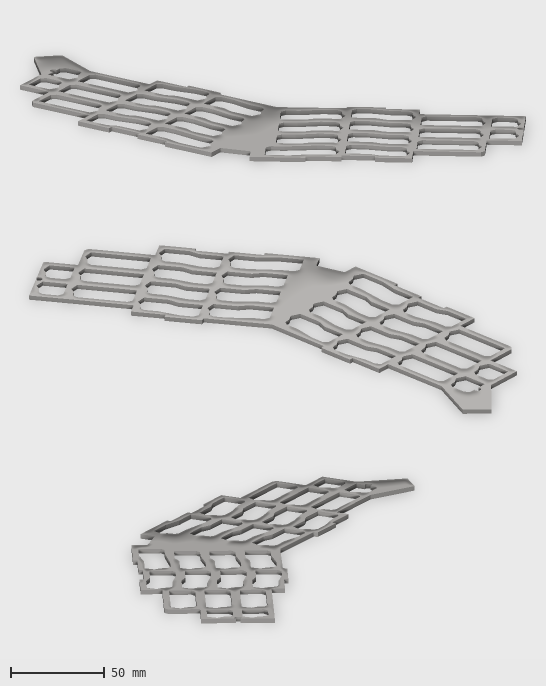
import cadquery as cq
import math


thickness = 2.5
tilt = 15
key_columns = 7
columns_span = 114.0
key_pitch = columns_span / (key_columns - 1)

stagger = 2.3

inner_wall_u = -10.2
inner_wall_top_v = -71.0
top_v = 0.3
tall_top_v = top_v + stagger
bottom_v = -77.3
pair_edge_u = 77.0
outer_top_v = -7.0
pinky_bottom_v = -65.7
pinky_edge_u = 115.4
edge_u = 134.2
edge_bottom_v = -46.5
corner_cut = 2.0
tab_foot_u = 37.2
tab_start_u = 37.8
tab_end_u = 58
bottom_tab_start_u = 19.8
bottom_tab_end_u = 39.0
recess_end_u = 57.0

arm_root_u = 115.0
arm_top = (141.5, 5.8)
arm_tip = (152.8, -4.6)
arm_foot_v = -25.5

upper_border = [
    (tab_foot_u, top_v),
    (tab_start_u, tall_top_v),
    (tab_end_u, tall_top_v),
    (tab_end_u, top_v),
    (pair_edge_u, top_v),
    (pair_edge_u, outer_top_v),
]
right_corner = [(edge_u, outer_top_v)]
left_arm = [(arm_root_u, outer_top_v), arm_top, arm_tip, (edge_u, arm_foot_v)]
lower_border = [
    (edge_u, edge_bottom_v),
    (pinky_edge_u, edge_bottom_v),
    (pinky_edge_u, pinky_bottom_v + corner_cut),
    (pinky_edge_u - corner_cut, pinky_bottom_v),
    (pair_edge_u, pinky_bottom_v),
    (pair_edge_u, bottom_v),
    (recess_end_u, bottom_v),
    (recess_end_u, bottom_v + stagger),
    (bottom_tab_end_u, bottom_v + stagger),
    (bottom_tab_end_u, bottom_v),
    (bottom_tab_start_u, bottom_v),
    (bottom_tab_start_u, bottom_v - stagger),
    (inner_wall_u, bottom_v - stagger),
    (inner_wall_u, inner_wall_top_v),
]

opening_height = 14.0
opening_width = 13.7
top_corner_run = 2.5
top_corner_drop = 2.0
shoulder_drop = 1.5
shoulder_u = 13.5
flank_u = 14.0
flank_v = 8.5
point_u = 16.0
point_v = 5.2
top_ramp_start = 10.0
top_ramp_end = 3.2
bottom_ramp_start = 13.5
bottom_ramp_end = 0.3

middle_v = -16.9
pinky_v = -24.0
column_bottoms = [middle_v - stagger, middle_v, middle_v + stagger, middle_v, pinky_v, pinky_v, pinky_v]
pair_row_counts = [4, 4, 3]
single_row_count = 2
thumb_row = 3
right_first_left = 2.5
left_first_left = 17.0
first_left_side = {1: right_first_left, -1: left_first_left}
thumb_shift = 5.0

relief_radius = 1.9
right_relief = (132.8, -26.7)
left_relief = (132.0, -17.0)


def half_plane(side):
    """Work plane of a half: side is 1 for the right half and -1 for the left one."""
    return cq.Workplane("XY").transformed(rotate=(0, 0, side * tilt))


def to_plate(u, v, side):
    """Position on the whole plate of a point given in the frame of one half."""
    angle = math.radians(tilt)
    x = u * math.cos(angle) - v * math.sin(angle)
    y = u * math.sin(angle) + v * math.cos(angle)
    return (side * x, y)


def build_blank():
    right = upper_border + right_corner + lower_border
    left = upper_border + left_arm + lower_border
    outline = [(0, 0)]
    outline += [to_plate(u, v, 1) for u, v in right]
    outline += [to_plate(u, v, -1) for u, v in reversed(left)]
    return cq.Workplane("XY").polyline(outline).close().extrude(thickness)


def opening(left_x, left_v, right_x, right_v):
    """Outline of an opening from the key at left_x to the key at right_x."""
    left_top = left_v + opening_height
    right_top = right_v + opening_height
    points = [
        (left_x, left_v),
        (left_x, left_top - top_corner_drop),
        (left_x + top_corner_run, left_top),
    ]
    if left_v != right_v:
        points += [(left_x + top_ramp_start, left_top), (right_x + top_ramp_end, right_top)]
    points += [
        (right_x + opening_width - top_corner_run, right_top),
        (right_x + shoulder_u, right_top - shoulder_drop),
        (right_x + flank_u, right_v + flank_v),
        (right_x + point_u, right_v + point_v),
        (right_x + opening_width, right_v),
    ]
    if left_v != right_v:
        points += [(right_x + bottom_ramp_end, right_v), (left_x + bottom_ramp_start, left_v)]
    return points


def build_openings(side):
    cutters = half_plane(side)

    def key(column, row):
        """Lower left corner of a key opening."""
        shift = thumb_shift if column == 0 and row == thumb_row else 0
        x = side * (first_left_side[side] + column * key_pitch - shift)
        return x, column_bottoms[column] - row * key_pitch

    for pair, rows in enumerate(pair_row_counts):
        for row in range(rows):
            keys = sorted([key(2 * pair, row), key(2 * pair + 1, row)])
            cutters = cutters.polyline(opening(*keys[0], *keys[1])).close()
    for row in range(single_row_count):
        single = key(2 * len(pair_row_counts), row)
        cutters = cutters.polyline(opening(*single, *single)).close()
    return cutters.extrude(thickness)


def build_relief(side, u, v):
    return half_plane(side).center(side * u, v).circle(relief_radius).extrude(thickness)


result = build_blank()
for side in (1, -1):
    result = result.cut(build_openings(side))
result = result.cut(build_relief(1, *right_relief))
result = result.cut(build_relief(-1, *left_relief))